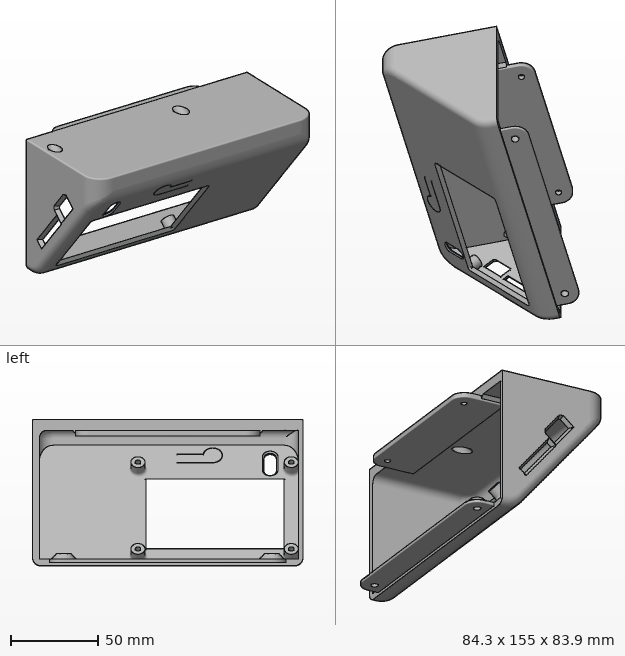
import cadquery as cq
import math

length = 155.0
depth = 69.6
height = 83.9
slope_angle = 50.0
slope_foot = 10.2
toe_radius = 15.0
corner_radius = 12.0
slope_edge_radius = 5.0
top_edge_radius = 1.0

wall = 4.0
panel_wall = 2.0
ceiling_wall = 6.2
thin_side_wall = 2.8
ceiling_fillet = 4.5

flange_reach = 14.7
flange_inset = 14.7
flange_corner = 8.0
flange_hole_x = -6.7
upper_flange_length = 105.4
upper_flange_thickness = 3.4
upper_flange_round = 0.5
upper_hole_spacing = 89.0
upper_hole_radius = 1.7
gusset_size = 2.0
lower_flange_length = 135.2
lower_flange_thickness = 2.2
lower_flange_round = 0.5
pad_spacing = 119.0
pad_height = 3.1
pad_top_radius = 4.0
pad_hole_radius = 2.2

boss_sides = (17.0, -70.7)
boss_rows = (1.2, 66.0)
boss_radius = 4.0
boss_height = 7.5
boss_flare = 2.0
boss_bore_radius = 1.5
driver_hole_radii = (4.0, 3.5)
driver_hole_rows = (66.6, 66.3)

window_right = -66.5
window_left = 12.4
window_bottom = 7.8
window_top = 59.7

oval_side = -58.6
oval_up = 71.3
oval_straight = 9.5
oval_radius = 4.5
oval_chamfer = 1.0

button_side = -25.7
button_up = 77.3
button_radius = 5.6
button_arm_width = 6.5
button_arm_end = -5.5
button_slit = 0.23

card_along = (46.3, 64.5)
card_away = (7.5, 18.3)
card_corner = 1.9
groove_along = (15.5, 46.0)
groove_away = (7.1, 13.2)
side_bevel = 1.4

sin_slope = math.sin(math.radians(slope_angle))
cos_slope = math.cos(math.radians(slope_angle))
tan_slope = sin_slope / cos_slope
ceiling = height - ceiling_wall
half_length = length / 2
inner_slope_foot = slope_foot - panel_wall / sin_slope
floor_corner = inner_slope_foot + wall / tan_slope
inner_depth = depth - wall
overshoot = 7.8

panel = cq.Plane(origin=(floor_corner, 0, wall), xDir=(0, -1, 0), normal=(-sin_slope, 0, cos_slope))
side = cq.Plane(origin=(floor_corner, -half_length, wall), xDir=(cos_slope, 0, sin_slope), normal=(0, -1, 0))


def rounded_prism(x_min, x_max, y_min, y_max, z_min, z_max, radius, corners):
    block = cq.Workplane("XY").box(x_max - x_min, y_max - y_min, z_max - z_min, centered=False)
    return block.translate((x_min, y_min, z_min)).edges(corners).fillet(radius)


def make_shell_outside():
    front_foot = (depth - slope_foot) * tan_slope
    body = (
        cq.Workplane("XZ")
        .polyline([(0, 0), (slope_foot, 0), (depth, front_foot), (depth, height), (0, height)])
        .close()
        .extrude(half_length, both=True)
    )
    body = body.edges(cq.selectors.NearestToPointSelector((slope_foot, 0, 0))).fillet(toe_radius)
    body = body.edges(cq.selectors.NearestToPointSelector((depth, 0, front_foot))).fillet(corner_radius)
    body = body.intersect(
        rounded_prism(0, depth, -half_length, half_length, 0, height, corner_radius, "|Z and >X")
    )
    slope_middle_x = (slope_foot + depth) / 2
    for y in (-half_length, half_length):
        edge = cq.selectors.NearestToPointSelector((slope_middle_x, y, front_foot / 2))
        body = body.edges(edge).fillet(slope_edge_radius)
    return body.faces(">Z").edges("not <X").fillet(top_edge_radius)


def make_cavity():
    """Room inside the shell; its ceiling is rounded except along the thin side wall."""
    y_min = thin_side_wall - half_length
    y_max = half_length - wall
    inner_corner = corner_radius - wall
    room = (
        cq.Workplane("XY")
        .box(inner_depth + overshoot, y_max - y_min + overshoot, ceiling - wall, centered=False)
        .translate((-overshoot, y_min - overshoot, wall))
        .edges("|Z and >X and >Y")
        .fillet(inner_corner)
    )
    room = room.faces(">Z").edges("not(<X or <Y)").fillet(ceiling_fillet)
    room = room.intersect(
        rounded_prism(-overshoot, inner_depth, y_min, y_max, wall, ceiling, inner_corner, "|Z and >X")
    )
    behind_panel = (
        cq.Workplane("XZ")
        .polyline(
            [
                (-overshoot, wall),
                (floor_corner, wall),
                (floor_corner + height / tan_slope, wall + height),
                (-overshoot, wall + height),
            ]
        )
        .close()
        .extrude(half_length, both=True)
    )
    return room.intersect(behind_panel)


def make_flange(flange_length, top, thickness, inner_end, edge_round):
    plate = rounded_prism(
        -flange_reach,
        inner_end,
        -flange_length / 2,
        flange_length / 2,
        top - thickness,
        top,
        flange_corner,
        "|Z and <X",
    )
    return plate.faces("<Z or >Z").edges("not >X").fillet(edge_round)


def make_upper_flange():
    flange = make_flange(
        upper_flange_length, ceiling, upper_flange_thickness, flange_inset, upper_flange_round
    )
    half_base = upper_flange_length / 2
    gussets = (
        cq.Workplane("YZ")
        .polyline(
            [
                (-half_base - gusset_size, ceiling),
                (half_base + gusset_size, ceiling),
                (half_base, ceiling - gusset_size),
                (-half_base, ceiling - gusset_size),
            ]
        )
        .close()
        .extrude(flange_inset)
    )
    return flange.union(gussets)


def make_lower_flange():
    flange = make_flange(lower_flange_length, wall, lower_flange_thickness, wall, lower_flange_round)
    pad = cq.Workplane("XY").circle(pad_top_radius + pad_height).extrude(pad_height, taper=45)
    for y in (-pad_spacing / 2, pad_spacing / 2):
        flange = flange.union(pad.translate((flange_hole_x, y, wall)))
    return flange


def flange_holes(spacing, radius, z_min, z_max):
    return (
        cq.Workplane("XY", origin=(flange_hole_x, 0, z_min))
        .rarray(1.5, spacing, 1, 2)
        .circle(radius)
        .extrude(z_max - z_min)
    )


def make_boss():
    """Screw boss standing on Z = 0, with a concave flare around its foot."""
    foot_radius = boss_radius + boss_flare
    arc_offset = boss_flare * (1 - math.sqrt(0.5))
    return (
        cq.Workplane("XZ")
        .moveTo(0, -panel_wall / 2)
        .lineTo(foot_radius, -panel_wall / 2)
        .lineTo(foot_radius, 0)
        .threePointArc((boss_radius + arc_offset, arc_offset), (boss_radius, boss_flare))
        .lineTo(boss_radius, boss_height)
        .lineTo(0, boss_height)
        .close()
        .revolve(360, (0, 0, 0), (0, 1, 0))
        .val()
    )


def make_bosses():
    boss = make_boss()
    bosses = cq.Workplane("XY")
    for y in boss_sides:
        for up in boss_rows:
            place = cq.Location(panel) * cq.Location(cq.Vector(-y, up, 0))
            bosses = bosses.union(cq.Workplane(boss.moved(place)))
    return bosses


def boss_bores():
    points = [(-y, up) for y in boss_sides for up in boss_rows]
    return cq.Workplane(panel).pushPoints(points).circle(boss_bore_radius).extrude(boss_height)


def driver_holes():
    """Slanted holes through the ceiling that give a screwdriver access to the upper bosses."""
    holes = cq.Workplane("XY")
    for y, radius, row in zip(boss_sides, driver_hole_radii, driver_hole_rows):
        start = cq.Workplane(panel).workplane(offset=2 * boss_height)
        holes = holes.union(start.center(-y, row).circle(radius).extrude(height))
    return holes


def window_cut():
    """Screen window that widens outward at 45 degrees."""
    center = (-(window_left + window_right) / 2, (window_bottom + window_top) / 2)
    return (
        cq.Workplane(panel)
        .center(*center)
        .rect(window_left - window_right, window_top - window_bottom)
        .extrude(-panel_wall, taper=-45)
    )


def oval_cut():
    """Upright slot with a chamfered rim inside the cavity."""
    start = cq.Workplane(panel).center(-oval_side, oval_up)
    slot_length = oval_straight + 2 * oval_radius
    rim = start.slot2D(slot_length, 2 * oval_radius, 90).extrude(-oval_chamfer, taper=45)
    slot = start.slot2D(
        slot_length - 2 * oval_chamfer, 2 * (oval_radius - oval_chamfer), 90
    ).extrude(-panel_wall)
    return rim.union(slot)


def button_shape(shrink):
    """Round button with its arm, inset by the given amount except at the arm's root."""
    radius = button_radius - shrink
    arm_width = button_arm_width - 2 * shrink
    arm_length = button_arm_end - button_side
    disc = cq.Workplane(panel).center(-button_side, button_up).circle(radius).extrude(-panel_wall)
    arm = (
        cq.Workplane(panel)
        .center(-button_side - arm_length / 2, button_up - radius + arm_width / 2)
        .rect(arm_length, arm_width)
        .extrude(-panel_wall)
    )
    return disc.union(arm)


def side_opening(along, away, corner=0):
    """Side wall opening that narrows toward the cavity; corner cuts the corners far from the panel."""
    taper = math.degrees(math.atan(side_bevel / thin_side_wall))
    near, far = away
    start, end = along
    outline = [(start, near), (end, near), (end, far - corner)]
    if corner:
        outline += [(end - corner, far), (start + corner, far)]
    outline.append((start, far - corner))
    opening = cq.Workplane(side).polyline(outline).close()
    return opening.extrude(-thin_side_wall, taper=taper)


outside = make_shell_outside()
result = outside.cut(make_cavity())
result = result.union(make_bosses().intersect(outside))
result = result.union(make_upper_flange()).union(make_lower_flange())
upper_flange_bottom = ceiling - upper_flange_thickness
result = result.cut(flange_holes(upper_hole_spacing, upper_hole_radius, upper_flange_bottom, ceiling))
result = result.cut(flange_holes(pad_spacing, pad_hole_radius, 0, wall + pad_height))
result = result.cut(boss_bores()).cut(driver_holes())
result = result.cut(window_cut()).cut(oval_cut())
result = result.cut(button_shape(0).cut(button_shape(button_slit)))
result = result.cut(side_opening(card_along, card_away, card_corner))
result = result.cut(side_opening(groove_along, groove_away))